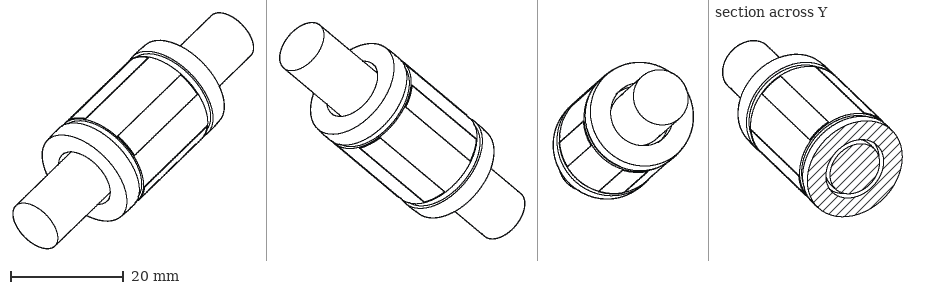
import cadquery as cq

shaft_length = 58.0
shaft_diameter = 10.0
bore_diameter = 11.4
bore_depth = 3.55
housing_length = 28.9
housing_diameter = 19.0
collar_end_diameter = 18.8
collar_taper_length = 1.6
collar_length = 3.55
groove_diameter = 18.0
sleeve_length = 19.0
sleeve_diameter = 18.8

strip_count = 5
strip_angle = 28.0
strip_end_margin = 0.2
first_strip_angle = 270.0


def cylinder(diameter, length, start):
    """Solid cylinder along +Y beginning at Y = start."""
    axis_plane = cq.Workplane("XZ", origin=(0, start, 0))
    return axis_plane.circle(diameter / 2).extrude(-length)


def make_housing():
    """Tapered collars, grooves and sleeve, as one revolved profile."""
    half_length = housing_length / 2
    taper_start = half_length - collar_taper_length
    groove_outer = half_length - collar_length
    groove_inner = sleeve_length / 2
    outer_radius = housing_diameter / 2
    groove_radius = groove_diameter / 2
    sleeve_radius = sleeve_diameter / 2
    end_radius = collar_end_diameter / 2
    half_profile = [
        (sleeve_radius, groove_inner),
        (groove_radius, groove_inner),
        (groove_radius, groove_outer),
        (outer_radius, groove_outer),
        (outer_radius, taper_start),
        (end_radius, half_length),
        (0, half_length),
    ]
    mirrored_profile = [(radius, -y) for radius, y in reversed(half_profile)]
    profile = cq.Workplane("XY").polyline(half_profile + mirrored_profile).close()
    return profile.revolve(360, (0, 0, 0), (0, 1, 0))


def make_strip():
    """Raised strip along the sleeve, a ring sector centred on +X."""
    length = sleeve_length - 2 * strip_end_margin
    inner_radius = groove_diameter / 2
    outer_radius = housing_diameter / 2
    sector = (
        cq.Workplane("XY")
        .moveTo(inner_radius, -length / 2)
        .lineTo(outer_radius, -length / 2)
        .lineTo(outer_radius, length / 2)
        .lineTo(inner_radius, length / 2)
        .close()
        .revolve(strip_angle, (0, 0, 0), (0, 1, 0))
    )
    return sector.rotate((0, 0, 0), (0, 1, 0), -strip_angle / 2)


housing = make_housing()

strip = make_strip()
for index in range(strip_count):
    angle = first_strip_angle + index * 360 / strip_count
    housing = housing.union(strip.rotate((0, 0, 0), (0, 1, 0), -angle))

for bore_start in (-housing_length / 2, housing_length / 2 - bore_depth):
    housing = housing.cut(cylinder(bore_diameter, bore_depth, bore_start))

shaft = cylinder(shaft_diameter, shaft_length, -shaft_length / 2)
result = housing.union(shaft)